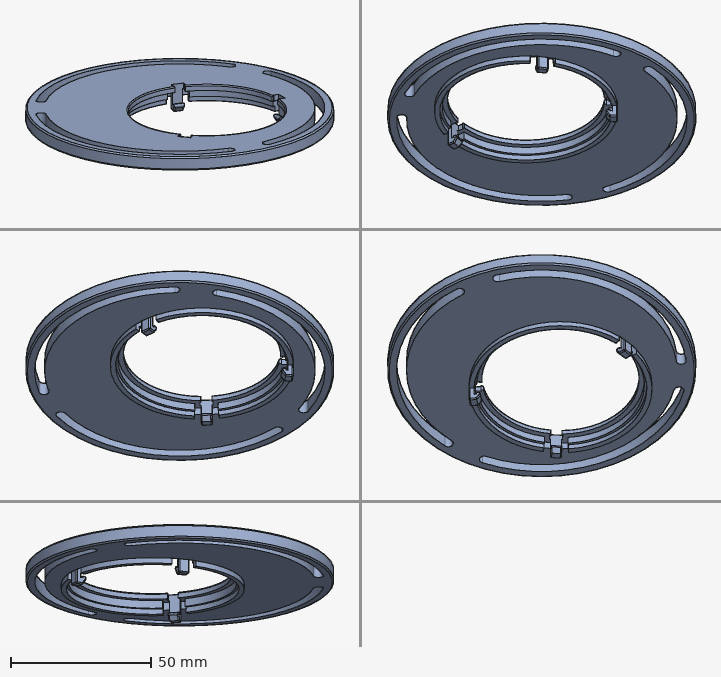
import cadquery as cq
import math

disc_radius = 55.0
disc_thickness = 5.1
rim_chamfer = 0.5

slot_radius = 50.0
slot_width = 3.5
slot_count = 3
slot_span = 102.4
first_slot_angle = 15.0

opening_x = 10.0
opening_radius = 28.0
opening_chamfer = 0.4
lip_thickness = 2.2
recess_radius = 29.9

ring_radius = 32.7
ring_inner_radius = 30.8
ring_bottom = -7.0
ring_gap_angle = 16.0

clip_angles = (45.0, 125.0, 270.0)
clip_width = 4.0
clip_bottom = -10.0
clip_inner_radius = ring_inner_radius
clip_outer_radius = ring_radius
clip_chamfer = 0.4
hook_tip_radius = 28.6
hook_top = -7.2
hook_groove_radius = 30.0
hook_groove_depth = 0.4
hook_nose_fillet = 0.7
hook_nose_bottom = -8.2
hook_foot_radius = 29.9

pocket_width = 4.6
throat_width = 4.0
throat_length = 0.8


def polar(radius, angle):
    """Point at a radius and an angle in degrees."""
    return radius * math.cos(math.radians(angle)), radius * math.sin(math.radians(angle))


def cylinder(radius, top, bottom):
    """Cylinder on the opening axis between two heights."""
    return cq.Workplane("XY", origin=(opening_x, 0, bottom)).circle(radius).extrude(top - bottom)


def at_clip(shape, angle):
    """Turn a shape made along +X of the opening axis to a clip angle, then move it there."""
    return shape.rotate((0, 0, 0), (0, 0, 1), angle).translate((opening_x, 0, 0))


def arc_slot(mid_angle):
    """Round-ended slot following a circle about the disc axis."""
    start = mid_angle - slot_span / 2
    end = mid_angle + slot_span / 2
    inner = slot_radius - slot_width / 2
    outer = slot_radius + slot_width / 2
    return (
        cq.Workplane("XY")
        .moveTo(*polar(inner, start))
        .threePointArc(polar(inner, mid_angle), polar(inner, end))
        .tangentArcPoint(polar(outer, end), relative=False)
        .threePointArc(polar(outer, mid_angle), polar(outer, start))
        .tangentArcPoint(polar(inner, start), relative=False)
        .close()
        .extrude(-disc_thickness)
    )


def block(inner, outer, width, top, bottom):
    """Box between two radii along +X, centred across Y, between two heights."""
    return (
        cq.Workplane("XY", origin=((inner + outer) / 2, 0, bottom))
        .rect(outer - inner, width)
        .extrude(top - bottom)
    )


def ring_gap():
    """Sector around a clip that opens the ring and the disc under the lip."""
    half_angle = ring_gap_angle / 2
    return (
        cq.Workplane("XY", origin=(0, 0, ring_bottom))
        .lineTo(*polar(ring_radius, -half_angle))
        .threePointArc((ring_radius, 0), polar(ring_radius, half_angle))
        .close()
        .extrude(-lip_thickness - ring_bottom)
    )


def pocket():
    """Opening in the disc between the bore and the clip's inner face."""
    throat_end = opening_radius + throat_length
    throat = block(0, throat_end, throat_width, 0, -disc_thickness)
    return throat.union(block(throat_end, clip_inner_radius, pocket_width, 0, -disc_thickness))


def clip():
    """Vertical arm with an inward hook along +X, its root buried in the disc."""
    root_height = -lip_thickness / 2
    groove_bottom = hook_top - hook_groove_depth
    arm = (
        cq.Workplane("XZ")
        .moveTo(clip_inner_radius, root_height)
        .lineTo(clip_inner_radius, groove_bottom)
        .lineTo(hook_groove_radius, groove_bottom)
        .lineTo(hook_groove_radius, hook_top)
        .lineTo(hook_tip_radius, hook_top)
        .lineTo(hook_tip_radius, hook_nose_bottom)
        .lineTo(hook_foot_radius, clip_bottom)
        .lineTo(clip_outer_radius, clip_bottom)
        .lineTo(clip_outer_radius, root_height)
        .close()
        .extrude(clip_width / 2, both=True)
    )
    arm = arm.faces(">X or <Z or >(-4,0,-3)").edges("(not |Y) or >X").chamfer(clip_chamfer)
    nose_edge = cq.selectors.NearestToPointSelector((hook_tip_radius, 0, hook_top))
    return arm.edges(nose_edge).fillet(hook_nose_fillet)


disc = cq.Workplane("XY").circle(disc_radius).extrude(-disc_thickness)
disc = disc.faces("<Z or >Z").edges().chamfer(rim_chamfer)
disc = disc.cut(cylinder(opening_radius, 0, -disc_thickness))
disc = disc.edges(cq.selectors.RadiusNthSelector(0)).edges(">Z").chamfer(opening_chamfer)
disc = disc.cut(cylinder(recess_radius, -lip_thickness, -disc_thickness))

for index in range(slot_count):
    disc = disc.cut(arc_slot(first_slot_angle + index * 360 / slot_count))

ring = cylinder(ring_radius, -disc_thickness, ring_bottom)
ring = ring.cut(cylinder(ring_inner_radius, -disc_thickness, ring_bottom))

result = disc.union(ring)
for angle in clip_angles:
    result = result.cut(at_clip(ring_gap(), angle))
    result = result.cut(at_clip(pocket(), angle))
    result = result.union(at_clip(clip(), angle))